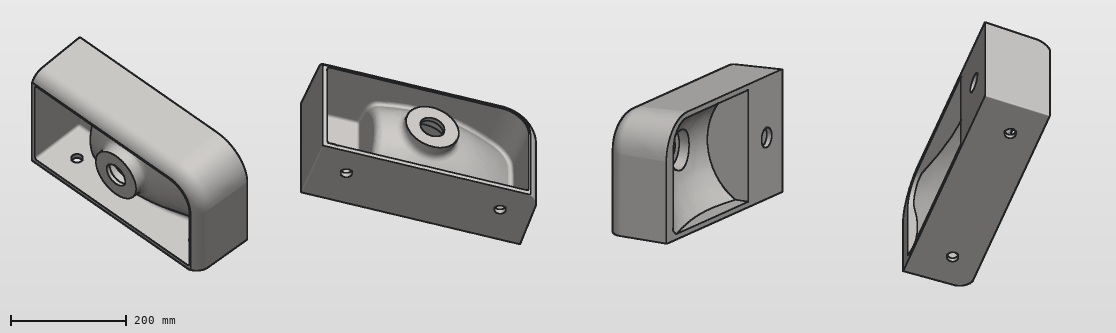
import cadquery as cq

LENGTH = 400.0
DEPTH = 120.0
HEIGHT = 220.0
CORNER_RADIUS = 73.0
DRAFT_INSET = 3.5
ROUND_DEPTH = 29.0
ROUND_INSET = 21.5
ROUND_MID_DEPTH = 9.0
ROUND_MID_INSET = 10.0
EDGE_RADIUS = 2.5
CORNER_X = LENGTH - CORNER_RADIUS
CORNER_Z = HEIGHT - CORNER_RADIUS
MID_Z = HEIGHT / 2

LEFT_WALL = 8.0
BOTTOM_WALL = 9.0
RIM_EDGE = 3.0
DECK_THICKNESS = 10.0
HOLLOW_DRAFT = 1.2
HOLLOW_FILLET = 5.5
HOLLOW_RIGHT = LENGTH - ROUND_INSET - RIM_EDGE
HOLLOW_TOP = HEIGHT - ROUND_INSET - RIM_EDGE
HOLLOW_DEPTH = DEPTH - DECK_THICKNESS

BOWL_LEFT = 100.0
BOWL_LEFT_INSET = 9.5
BOWL_SECTIONS = [(BOWL_LEFT, 32.0, 104.0), (228.0, 18.0, 100.0), (376.0, 90.0, 116.0)]
BOWL_WALL = 12.0
BOWL_EDGE_RADIUS = 16.0
BASIN_LEFT_WALL = 8.0
BASIN_RIM = 10.0
BASIN_RIGHT = 376.0
BASIN_CORNER = 48.0

DRAIN_X = 200.0
DRAIN_FACE_Y = 1.0
DRAIN_BOSS_DIAMETER = 96.0
DRAIN_BOSS_TOP_Y = 48.0
DRAIN_BOSS_FILLET = 12.0
DRAIN_DIAMETER = 44.0
DRAIN_SEAT_DIAMETER = 72.0
DRAIN_FLOOR = 8.0
TAP_X = 55.0
TAP_DIAMETER = 35.0
SCREW_DIAMETER = 20.0
SCREW_INSET = 60.0
SCREW_Y = 51.0


def side_section(plane):
    """Half section of the block: drafted side, then the rounded edge, out from a local base line."""
    radius = CORNER_RADIUS
    return (
        cq.Workplane(plane)
        .lineTo(0, DEPTH)
        .lineTo(radius, DEPTH)
        .lineTo(radius - DRAFT_INSET, ROUND_DEPTH)
        .threePointArc((radius - ROUND_MID_INSET, ROUND_MID_DEPTH), (radius - ROUND_INSET, 0))
        .close()
    )


def round_depth_edges(block):
    """Round the corners running along the depth, on the left and bottom faces."""
    straight_across = cq.StringSyntaxSelector("|X or |Z")
    left_edges = cq.StringSyntaxSelector("<X") - straight_across
    bottom_edges = cq.StringSyntaxSelector("<Z") - straight_across
    return block.edges(left_edges + bottom_edges).fillet(EDGE_RADIUS)


def make_block():
    right_plane = cq.Plane(origin=(CORNER_X, 0, 0), xDir=(1, 0, 0), normal=(0, 0, 1))
    corner_plane = cq.Plane(origin=(CORNER_X, 0, CORNER_Z), xDir=(1, 0, 0), normal=(0, 0, 1))
    top_plane = cq.Plane(origin=(CORNER_X, 0, CORNER_Z), xDir=(0, 0, 1), normal=(-1, 0, 0))
    core = cq.Workplane("XY").box(CORNER_X, DEPTH, CORNER_Z, centered=False)
    right_leg = side_section(right_plane).extrude(CORNER_Z)
    corner = side_section(corner_plane).revolve(90, (0, 0), (0, -1))
    top_leg = side_section(top_plane).extrude(CORNER_X)
    block = core.union(right_leg).union(top_leg).union(corner).clean()
    return round_depth_edges(block)


def rounded_prism(depth, left, bottom, right, top, radius, draft=0.0):
    """Prism along +Y with a round upper right corner; positive draft narrows it towards +Y."""
    plane = cq.Plane(origin=(0, 0, 0), xDir=(0, 0, 1), normal=(0, 1, 0))
    return (
        cq.Workplane(plane)
        .moveTo(bottom, left)
        .lineTo(bottom, right)
        .lineTo(top - radius, right)
        .radiusArc((top, right - radius), radius)
        .lineTo(top, left)
        .close()
        .extrude(depth, taper=draft)
    )


def bowl_section(x, y_center, y_side):
    return (
        cq.Workplane("YZ", origin=(x, 0, 0))
        .moveTo(DEPTH + BOWL_WALL, 0)
        .lineTo(y_side, 0)
        .threePointArc((y_center, MID_Z), (y_side, HEIGHT))
        .lineTo(DEPTH + BOWL_WALL, HEIGHT)
        .close()
        .val()
    )


def make_bowl():
    sections = [bowl_section(*section) for section in BOWL_SECTIONS]
    bowl = cq.Workplane(cq.Solid.makeLoft(sections))
    leaning_prism = (
        cq.Workplane("XY")
        .moveTo(BOWL_LEFT, DEPTH + BOWL_WALL)
        .lineTo(BOWL_LEFT + BOWL_LEFT_INSET, 0)
        .lineTo(LENGTH, 0)
        .lineTo(LENGTH, DEPTH + BOWL_WALL)
        .close()
        .extrude(HEIGHT)
    )
    bowl = bowl.intersect(leaning_prism)
    return bowl.faces("<X").edges("<Y").fillet(BOWL_EDGE_RADIUS)


def add_drain_boss(bowl):
    boss = cylinder_along_y(DRAIN_X, DRAIN_FACE_Y, DRAIN_BOSS_TOP_Y, DRAIN_BOSS_DIAMETER)
    joined = bowl.union(boss)
    radius = DRAIN_BOSS_DIAMETER / 2
    around_boss = cq.selectors.BoxSelector(
        (DRAIN_X - radius, DRAIN_FACE_Y + DRAIN_FLOOR, MID_Z - radius),
        (DRAIN_X + radius, DRAIN_BOSS_TOP_Y, MID_Z + radius),
    )
    root = joined.edges(around_boss).edges("not %LINE")
    return root.fillet(DRAIN_BOSS_FILLET)


def make_cavity(bowl_with_boss):
    """Space left in the hollow around the bowl, with its outer corners rounded."""
    hollow = rounded_prism(
        HOLLOW_DEPTH, LEFT_WALL, BOTTOM_WALL, HOLLOW_RIGHT, HOLLOW_TOP,
        HOLLOW_TOP - CORNER_Z, HOLLOW_DRAFT,
    )
    cavity = hollow.cut(bowl_with_boss)
    off_walls = cq.selectors.BoxSelector(
        (BOWL_LEFT, 0, BOTTOM_WALL + HOLLOW_FILLET),
        (CORNER_X, HOLLOW_DEPTH - HOLLOW_FILLET, HOLLOW_TOP - HOLLOW_FILLET),
    )
    inner_corners = cq.StringSyntaxSelector("not <Y") - off_walls
    return cavity.edges(inner_corners).fillet(HOLLOW_FILLET)


def make_basin(bowl):
    """Inside of the bowl, open at the rim."""
    left = BOWL_LEFT + BOWL_LEFT_INSET + BASIN_LEFT_WALL
    outline = rounded_prism(
        DEPTH, left, BASIN_RIM, BASIN_RIGHT, HEIGHT - BASIN_RIM, BASIN_CORNER,
    )
    return bowl.translate((0, BOWL_WALL, 0)).intersect(outline)


def cylinder_along_y(x, y_start, y_end, diameter):
    plane = cq.Plane(origin=(x, y_start, MID_Z), xDir=(1, 0, 0), normal=(0, 1, 0))
    return cq.Workplane(plane).circle(diameter / 2).extrude(y_end - y_start)


bowl = make_bowl()
cavity = make_cavity(add_drain_boss(bowl))
result = make_block().cut(cavity).cut(make_basin(bowl))

seat_y = DRAIN_FACE_Y + DRAIN_FLOOR
result = result.cut(cylinder_along_y(DRAIN_X, 0, DEPTH, DRAIN_DIAMETER))
result = result.cut(cylinder_along_y(DRAIN_X, seat_y, DEPTH, DRAIN_SEAT_DIAMETER))
result = result.cut(cylinder_along_y(TAP_X, 0, DEPTH, TAP_DIAMETER))

for screw_x in (SCREW_INSET, LENGTH - SCREW_INSET):
    screw_hole = (
        cq.Workplane("XY")
        .center(screw_x, SCREW_Y)
        .circle(SCREW_DIAMETER / 2)
        .extrude(BOTTOM_WALL + HOLLOW_FILLET)
    )
    result = result.cut(screw_hole)